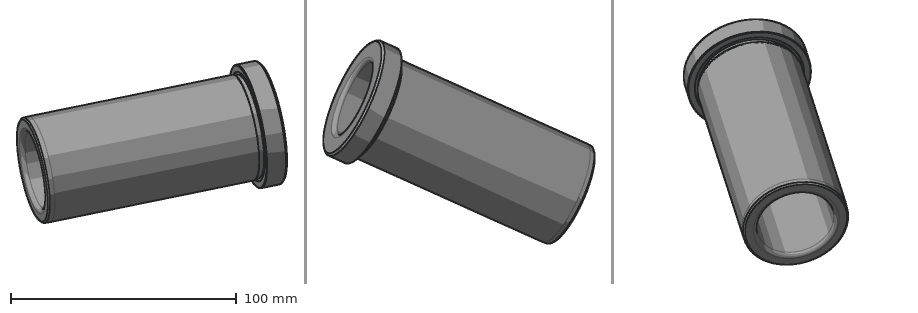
import cadquery as cq

length = 110.0
head_radius = 28.0
head_thickness = 9.9
head_back_chamfer = 1.0
head_front_chamfer = 0.3
body_radius = 24.0
neck_radius = 23.4
neck_width = 2.1
face_relief_radius = 24.9
face_relief_depth = 0.2
lead_length = 3.0
lead_radius = 23.9
nose_chamfer = 0.8
bore_radius = 17.5
mouth_radius = 2.0

nose_y = -length / 2
back_y = length / 2
head_front_y = back_y - head_thickness
neck_y = head_front_y - neck_width


def outer_solid():
    """Revolve the stepped outside profile, with radius along X."""
    profile = (
        cq.Workplane("XY")
        .moveTo(0, nose_y)
        .lineTo(lead_radius - nose_chamfer, nose_y)
        .lineTo(lead_radius, nose_y + nose_chamfer)
        .lineTo(body_radius, nose_y + lead_length)
        .lineTo(body_radius, neck_y)
        .lineTo(neck_radius, neck_y)
        .lineTo(neck_radius, head_front_y + face_relief_depth)
        .lineTo(face_relief_radius - face_relief_depth, head_front_y + face_relief_depth)
        .lineTo(face_relief_radius, head_front_y)
        .lineTo(head_radius - head_front_chamfer, head_front_y)
        .lineTo(head_radius, head_front_y + head_front_chamfer)
        .lineTo(head_radius, back_y - head_back_chamfer)
        .lineTo(head_radius - head_back_chamfer, back_y)
        .lineTo(0, back_y)
        .close()
    )
    return profile.revolve(360, (0, 0, 0), (0, 1, 0))


def bore_cutter():
    """Revolve the bore, flared by a round at each mouth."""
    flare_radius = bore_radius + mouth_radius
    profile = (
        cq.Workplane("XY")
        .moveTo(0, nose_y)
        .lineTo(flare_radius, nose_y)
        .radiusArc((bore_radius, nose_y + mouth_radius), mouth_radius)
        .lineTo(bore_radius, back_y - mouth_radius)
        .radiusArc((flare_radius, back_y), mouth_radius)
        .lineTo(0, back_y)
        .close()
    )
    return profile.revolve(360, (0, 0, 0), (0, 1, 0))


result = outer_solid().cut(bore_cutter())